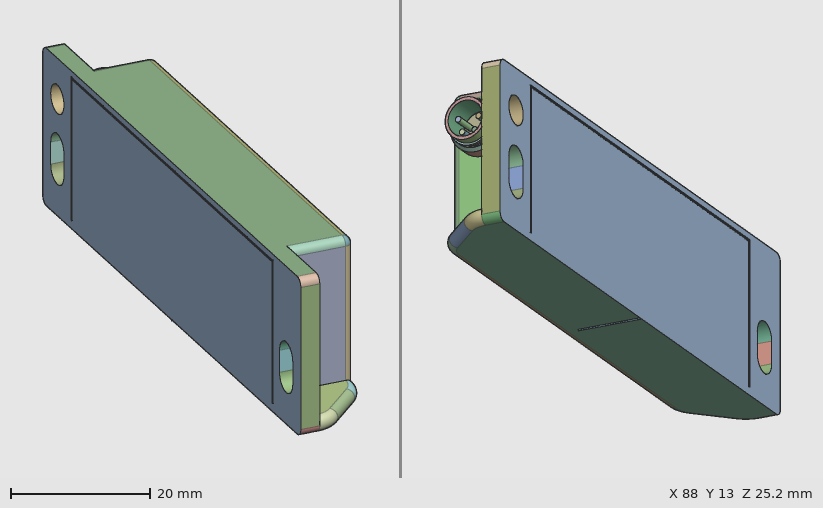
import cadquery as cq
import math

PLATE_LENGTH = 88.0
HEIGHT = 25.0
PLATE_THICKNESS = 3.0
CORNER_RADIUS = 1.25

TOTAL_DEPTH = 13.0
END_SHELF = 10.0
HOUSING_HALF_LENGTH = PLATE_LENGTH / 2 - END_SHELF
EDGE_RADIUS = CORNER_RADIUS

RIB_THICKNESS = 2.5
RIB_RIM_RADIUS = RIB_THICKNESS / 2
RIB_CORE_HALF_LENGTH = PLATE_LENGTH / 2 - RIB_RIM_RADIUS
RIB_BEND_RADIUS = 5.0
RIB_SLOPE = math.radians(45)

MOUNT_X = 39.0
HOLE_DIAMETER = 4.5
SLOT_LENGTH = 8.0
SLOT_Z = 9.0
SLOT_ANGLE = 90.0
ROUND_HOLE_Z = 18.5

LABEL_HALF_LENGTH = 34.4
LABEL_BOTTOM_Z = 1.3
LABEL_TOP_Z = HEIGHT - 1.0
GROOVE_WIDTH = 0.3
GROOVE_DEPTH = 0.2

MARK_HEIGHT = 0.2
MARK_WIDTH = 0.2
MARK_LENGTH = 10.0
MARK_ROOT_HEIGHT = 1.0

CONNECTOR_Y = 7.45
CONNECTOR_Z = 18.1
SLEEVE_RADIUS = 3.25
SLEEVE_LENGTH = 1.6
LIP_RADIUS = 3.55
LIP_LENGTH = 0.4
NECK_RADIUS = 3.35
NECK_LENGTH = 0.75
COLLAR_RADIUS = 4.05
COLLAR_LENGTH = 3.1
COLLAR_CHAMFER = 0.5
FOOT_RADIUS = COLLAR_RADIUS - COLLAR_CHAMFER
FOOT_LENGTH = 0.65
CONNECTOR_LENGTH = SLEEVE_LENGTH + LIP_LENGTH + NECK_LENGTH + COLLAR_LENGTH + FOOT_LENGTH
SOCKET_RADIUS = 2.75
SOCKET_DEPTH = 5.0
PIN_RADIUS = 0.45
PIN_RECESS = 1.0
UPPER_PIN_OFFSET = (1.65, 0.45)
LOWER_PIN_OFFSET = (1.0, -1.6)


def make_plate():
    plate = cq.Workplane("XY").box(
        PLATE_LENGTH, PLATE_THICKNESS, HEIGHT, centered=(True, False, False)
    )
    return plate.edges("|Y").fillet(CORNER_RADIUS)


def make_housing():
    housing = cq.Workplane("XY").box(
        2 * HOUSING_HALF_LENGTH, TOTAL_DEPTH, HEIGHT, centered=(True, False, False)
    )
    housing = housing.edges("|Y and >Z").fillet(EDGE_RADIUS)
    return housing.faces(">Y").edges().fillet(EDGE_RADIUS)


def rib_core_outline():
    """Open outline of the flat rib core, from its left foot to its right foot."""
    core_depth = TOTAL_DEPTH - RIB_RIM_RADIUS
    bend_radius = RIB_BEND_RADIUS - RIB_RIM_RADIUS
    bend_rise = bend_radius * math.sin(RIB_SLOPE)
    bend_inset = bend_radius - bend_rise
    lower_bend_end = (RIB_CORE_HALF_LENGTH - bend_inset, PLATE_THICKNESS + bend_rise)
    upper_bend_start = (HOUSING_HALF_LENGTH + bend_rise, core_depth - bend_inset)
    return (
        cq.Workplane("XY", origin=(0, 0, RIB_THICKNESS / 2))
        .moveTo(-RIB_CORE_HALF_LENGTH, 0)
        .lineTo(-RIB_CORE_HALF_LENGTH, PLATE_THICKNESS)
        .radiusArc((-lower_bend_end[0], lower_bend_end[1]), bend_radius)
        .lineTo(-upper_bend_start[0], upper_bend_start[1])
        .radiusArc((-HOUSING_HALF_LENGTH, core_depth), bend_radius)
        .lineTo(HOUSING_HALF_LENGTH, core_depth)
        .radiusArc(upper_bend_start, bend_radius)
        .lineTo(*lower_bend_end)
        .radiusArc((RIB_CORE_HALF_LENGTH, PLATE_THICKNESS), bend_radius)
        .lineTo(RIB_CORE_HALF_LENGTH, 0)
    )


def make_rib():
    """Bar along the bottom: a flat core bordered by a swept half-round rim."""
    core = rib_core_outline().close().extrude(RIB_THICKNESS / 2, both=True)
    rim = (
        cq.Workplane("XZ", origin=(-RIB_CORE_HALF_LENGTH, 0, RIB_THICKNESS / 2))
        .moveTo(0, -RIB_RIM_RADIUS)
        .threePointArc((-RIB_RIM_RADIUS, 0), (0, RIB_RIM_RADIUS))
        .close()
        .sweep(rib_core_outline().wire())
    )
    return core.union(rim)


def cut_mounting_openings(body):
    opening_plane = cq.Workplane("XZ")
    slots = (
        opening_plane.pushPoints([(-MOUNT_X, SLOT_Z), (MOUNT_X, SLOT_Z)])
        .slot2D(SLOT_LENGTH, HOLE_DIAMETER, SLOT_ANGLE)
        .extrude(-PLATE_THICKNESS)
    )
    round_hole = (
        opening_plane.center(-MOUNT_X, ROUND_HOLE_Z)
        .circle(HOLE_DIAMETER / 2)
        .extrude(-PLATE_THICKNESS)
    )
    return body.cut(slots).cut(round_hole)


def cut_label_groove(body):
    def panel(half_length, top_z):
        return (
            cq.Workplane("XY", origin=(0, 0, LABEL_BOTTOM_Z))
            .box(2 * half_length, GROOVE_DEPTH, top_z - LABEL_BOTTOM_Z, centered=(True, False, False))
        )

    outer = panel(LABEL_HALF_LENGTH, LABEL_TOP_Z)
    inner = panel(LABEL_HALF_LENGTH - GROOVE_WIDTH, LABEL_TOP_Z - GROOVE_WIDTH)
    return body.cut(outer.cut(inner))


def make_centre_mark():
    """Triangular ridge on a thin web that runs up into the solid."""
    half_width = MARK_WIDTH / 2
    profile = [
        (0, -MARK_HEIGHT),
        (half_width, 0),
        (half_width, MARK_ROOT_HEIGHT),
        (-half_width, MARK_ROOT_HEIGHT),
        (-half_width, 0),
    ]
    return cq.Workplane("XZ").polyline(profile).close().extrude(-MARK_LENGTH)


def connector_cylinder(radius, start, length):
    """Cylinder on the connector axis; start is measured from the socket mouth."""
    mouth_x = -HOUSING_HALF_LENGTH - CONNECTOR_LENGTH
    return (
        cq.Workplane("YZ", origin=(mouth_x + start, CONNECTOR_Y, CONNECTOR_Z))
        .circle(radius)
        .extrude(length)
    )


def make_connector():
    lip_start = SLEEVE_LENGTH
    neck_start = lip_start + LIP_LENGTH
    collar_start = neck_start + NECK_LENGTH
    foot_start = collar_start + COLLAR_LENGTH
    connector = connector_cylinder(SLEEVE_RADIUS, 0, SLEEVE_LENGTH)
    connector = connector.union(connector_cylinder(LIP_RADIUS, lip_start, LIP_LENGTH))
    connector = connector.union(connector_cylinder(NECK_RADIUS, neck_start, NECK_LENGTH))
    collar = connector_cylinder(COLLAR_RADIUS, collar_start, COLLAR_LENGTH)
    connector = connector.union(collar.edges().chamfer(COLLAR_CHAMFER))
    connector = connector.union(connector_cylinder(FOOT_RADIUS, foot_start, FOOT_LENGTH))
    connector = connector.cut(connector_cylinder(SOCKET_RADIUS, 0, SOCKET_DEPTH))
    pin_length = SOCKET_DEPTH - PIN_RECESS
    for offset_y, offset_z in (UPPER_PIN_OFFSET, LOWER_PIN_OFFSET):
        for side in (-1, 1):
            pin = connector_cylinder(PIN_RADIUS, PIN_RECESS, pin_length)
            connector = connector.union(pin.translate((0, side * offset_y, offset_z)))
    return connector


body = make_plate().union(make_housing()).union(make_rib())
body = cut_mounting_openings(body)
body = cut_label_groove(body)
result = body.union(make_centre_mark()).union(make_connector())